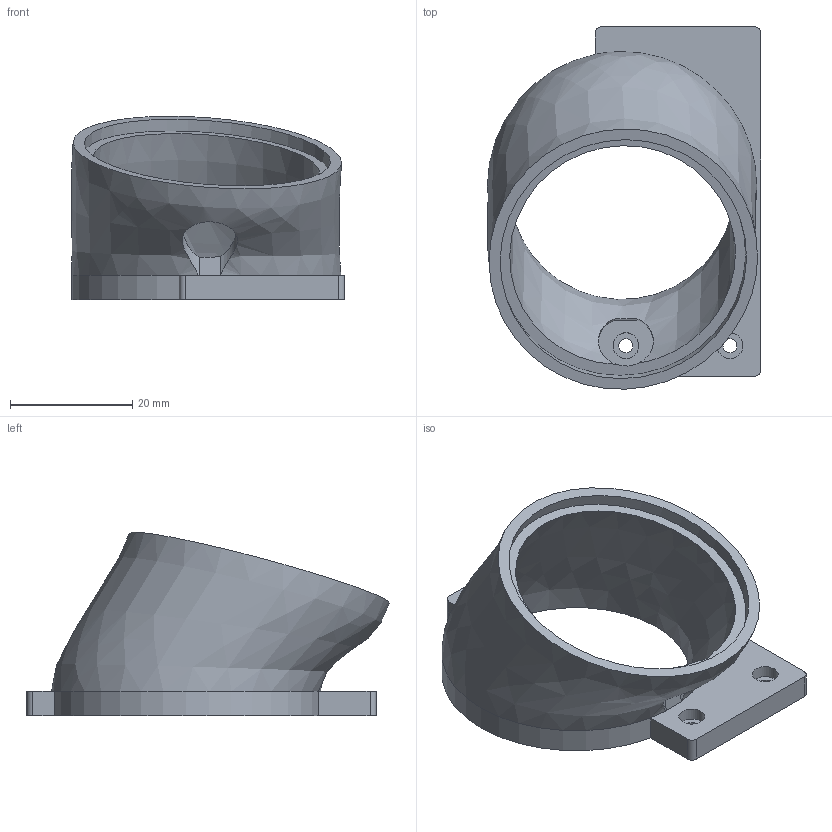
import cadquery as cq
import math

OUTER_RADIUS = 22.0
WALL = 3.5
BORE_RADIUS = OUTER_RADIUS - WALL
MOUTH_CENTRE = cq.Vector(0.2, -11.95, 24.05)
MOUTH_TILT_X = 15.0
MOUTH_TILT_Y = 4.6
BASE_PULL = 22.0
MOUTH_PULL = 23.0
DEPTH_SPREAD = 0.27
WIDTH_SQUEEZE = 0.17
SECTION_COUNT = 7
OVAL_POINTS = 24

SEAT_DIAMETER = 40.4
SEAT_DEPTH = 2.0

PLATE_WIDTH = 27.0
PLATE_LENGTH = 57.1
PLATE_THICKNESS = 4.0
PLATE_RIGHT = 22.62
PLATE_BACK = 26.05
CORNER_RADIUS = 1.0
PLATE_CENTRE_X = PLATE_RIGHT - PLATE_WIDTH / 2
PLATE_FRONT = PLATE_BACK - PLATE_LENGTH

SCREW_DIAMETER = 2.3
HEAD_DIAMETER = 4.2
HEAD_DEPTH = 2.0
SCREW_SPACING = 17.0
SCREW_EDGE_DISTANCE = 5.0
SCREW_Y = PLATE_FRONT + SCREW_EDGE_DISTANCE
LEFT_SCREW_X = PLATE_CENTRE_X - SCREW_SPACING / 2
RIGHT_SCREW_X = PLATE_CENTRE_X + SCREW_SPACING / 2

ACCESS_DIAMETER = 9.0
ACCESS_TILT = 5.0
ACCESS_FLAT = 4.15
ACCESS_HEIGHT = 16.0

SLOPE_X = math.tan(math.radians(MOUTH_TILT_Y))
SLOPE_Y = math.tan(math.radians(MOUTH_TILT_X))
MOUTH_NORMAL = cq.Vector(SLOPE_X, -SLOPE_Y, 1).normalized()
MOUTH_X = cq.Vector(1, 0, -SLOPE_X).normalized()
MOUTH_Y = MOUTH_NORMAL.cross(MOUTH_X)


def section_plane(t, start_z):
    """Plane at fraction t from the base to the mouth, on a cubic Hermite centre line."""
    blend = t * t * (3 - 2 * t)
    base_tangent = cq.Vector(0, 0, BASE_PULL - start_z)
    mouth_tangent = MOUTH_NORMAL * MOUTH_PULL
    centre = (
        cq.Vector(0, 0, start_z) * (1 - blend)
        + base_tangent * (t * (1 - t) ** 2)
        + MOUTH_CENTRE * blend
        - mouth_tangent * (t * t * (1 - t))
    )
    x_dir = cq.Vector(1, 0, 0) * (1 - blend) + MOUTH_X * blend
    y_dir = cq.Vector(0, 1, 0) * (1 - blend) + MOUTH_Y * blend
    return cq.Plane(origin=centre, xDir=x_dir, normal=x_dir.cross(y_dir))


def duct_section(t, radius, start_z):
    """Circle at either end, slight oval in between (most oval a third of the way up)."""
    sketch = cq.Workplane(section_plane(t, start_z))
    if t in (0, 1):
        return sketch.circle(radius).wires().val()
    ovalness = 27 / 4 * t * (1 - t) ** 2
    half_width = radius - WIDTH_SQUEEZE * ovalness
    half_depth = radius + DEPTH_SPREAD * ovalness
    angles = [2 * math.pi * i / OVAL_POINTS for i in range(OVAL_POINTS)]
    points = [(half_width * math.cos(a), half_depth * math.sin(a)) for a in angles]
    return sketch.spline(points, periodic=True).wire().val()


def duct_loft(radius, start_z):
    """Solid S-shaped duct of the given radius from height start_z up to the mouth."""
    fractions = [i / (SECTION_COUNT - 1) for i in range(SECTION_COUNT)]
    sections = [duct_section(t, radius, start_z) for t in fractions]
    return cq.Workplane(cq.Solid.makeLoft(sections))


def mounting_plate():
    return (
        cq.Workplane()
        .center(PLATE_CENTRE_X, (PLATE_FRONT + PLATE_BACK) / 2)
        .rect(PLATE_WIDTH, PLATE_LENGTH)
        .extrude(PLATE_THICKNESS)
        .edges("|Z")
        .fillet(CORNER_RADIUS)
    )


def base_ring():
    """Straight round foot of the duct, as thick as the plate."""
    return cq.Workplane().circle(OUTER_RADIUS).extrude(PLATE_THICKNESS)


def mouth_seat():
    """Shallow disc that widens the bore at the mouth."""
    plane = cq.Plane(origin=MOUTH_CENTRE, xDir=MOUTH_X, normal=MOUTH_NORMAL)
    return cq.Workplane(plane).circle(SEAT_DIAMETER / 2).extrude(-SEAT_DEPTH)


def screw_access():
    """Leaning cylinder over the left screw, flattened on the side facing the base ring."""
    plate_top = cq.Workplane(origin=(LEFT_SCREW_X, SCREW_Y, PLATE_THICKNESS))
    leaning = plate_top.transformed(rotate=(-ACCESS_TILT, 0, 0))
    cylinder = leaning.circle(ACCESS_DIAMETER / 2).extrude(ACCESS_HEIGHT, both=True)
    flat_side = (
        leaning.center(0, ACCESS_FLAT - ACCESS_DIAMETER / 2)
        .rect(ACCESS_DIAMETER, ACCESS_DIAMETER)
        .extrude(ACCESS_HEIGHT, both=True)
    )
    above_plate = (
        plate_top.rect(2 * ACCESS_DIAMETER, 2 * ACCESS_DIAMETER).extrude(2 * ACCESS_HEIGHT)
    )
    return cylinder.intersect(flat_side).intersect(above_plate)


def screw_hole(x):
    """Through hole with a counterbore from the top of the plate."""
    bottom = cq.Workplane(origin=(x, SCREW_Y, 0))
    shank = bottom.circle(SCREW_DIAMETER / 2).extrude(PLATE_THICKNESS)
    head_floor = bottom.workplane(offset=PLATE_THICKNESS - HEAD_DEPTH)
    head = head_floor.circle(HEAD_DIAMETER / 2).extrude(HEAD_DEPTH)
    return shank.union(head)


result = mounting_plate().union(base_ring()).union(duct_loft(OUTER_RADIUS, PLATE_THICKNESS))
result = result.cut(duct_loft(BORE_RADIUS, 0))
result = result.cut(mouth_seat())
result = result.cut(screw_access())
for screw_x in (LEFT_SCREW_X, RIGHT_SCREW_X):
    result = result.cut(screw_hole(screw_x))